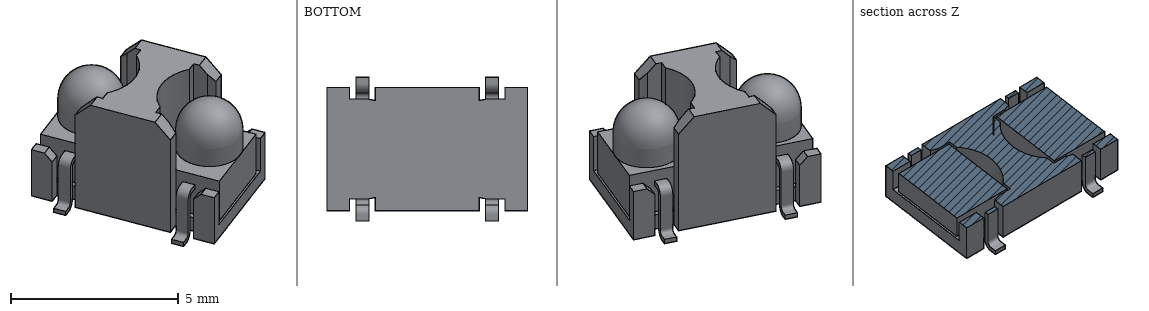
import cadquery as cq

housing_length = 6.0
housing_width = 3.69
housing_height = 3.9
floor_thickness = 0.5
block_length = 3.12
block_chamfer = 0.505
post_length = 0.685
post_height = 1.7
post_chamfer = 0.25

component_x = 1.93
pocket_radius = 1.5
pocket_width = 2.74
pocket_inner_x = 0.87

package_length = 2.005
package_width = 2.65
package_top = 1.95
dome_radius = 2.02 / 2
dome_y = 0.155
dome_base = 2.59

lead_width = 0.395
lead_thickness = 0.15
lead_bend_radius = 0.125
lead_top = 1.585
lead_face_y = 1.82
lead_span = 4.3


def box(x_min, x_max, width, z_min, z_max):
    """Box centered on Y = 0."""
    return (
        cq.Workplane("XY")
        .box(x_max - x_min, width, z_max - z_min, centered=(False, True, False))
        .translate((x_min, 0, z_min))
    )


def make_pocket(z_min, z_max):
    """Plan shape of the right-hand pocket: a round bore, a square step and an open outer end."""
    bore = (
        cq.Workplane("XY", origin=(component_x, 0, z_min))
        .circle(pocket_radius)
        .extrude(z_max - z_min)
    )
    step = box(pocket_inner_x, component_x, pocket_width, z_min, z_max)
    outer_end = box(component_x, housing_length / 2, 2 * pocket_radius, z_min, z_max)
    envelope = box(0, housing_length / 2, housing_width, z_min, z_max)
    return bore.union(step).union(outer_end).intersect(envelope)


def make_posts():
    """Right-hand pair of corner posts, chamfered toward the center block."""
    posts = box(
        housing_length / 2 - post_length, housing_length / 2, housing_width, 0, post_height
    )
    return posts.edges("<X and >Z").chamfer(post_chamfer)


def make_lead():
    """Right-hand lead on the +Y side: out of the package, down and outward into a foot."""
    outer_radius = lead_bend_radius + lead_thickness
    back_y = lead_face_y - lead_thickness
    bend_y = lead_face_y + lead_bend_radius
    underside = lead_top - lead_thickness
    profile = (
        cq.Workplane("YZ", origin=(component_x - lead_width / 2, 0, 0))
        .moveTo(0, lead_top)
        .lineTo(lead_face_y - outer_radius, lead_top)
        .radiusArc((lead_face_y, lead_top - outer_radius), outer_radius)
        .lineTo(lead_face_y, lead_bend_radius)
        .radiusArc((bend_y, 0), -lead_bend_radius)
        .lineTo(lead_span / 2, 0)
        .lineTo(lead_span / 2, -lead_thickness)
        .lineTo(bend_y, -lead_thickness)
        .radiusArc((back_y, lead_bend_radius), outer_radius)
        .lineTo(back_y, underside - lead_bend_radius)
        .radiusArc((back_y - lead_bend_radius, underside), -lead_bend_radius)
        .lineTo(0, underside)
        .close()
    )
    return profile.extrude(lead_width)


def make_component():
    """Right-hand package with its domed lens and two leads."""
    package = box(
        component_x - package_length / 2,
        component_x + package_length / 2,
        package_width,
        floor_thickness,
        package_top,
    )
    lens_base = (
        cq.Workplane("XY", origin=(component_x, dome_y, package_top))
        .circle(dome_radius)
        .extrude(dome_base - package_top)
    )
    dome = cq.Workplane("XY").sphere(dome_radius).translate((component_x, dome_y, dome_base))
    lead = make_lead()
    return package.union(lens_base).union(dome).union(lead).union(lead.mirror("XZ"))


block = box(-block_length / 2, block_length / 2, housing_width, 0, housing_height)
block = block.edges("|Y and >Z").chamfer(block_chamfer)
right_block = block.intersect(box(0, block_length / 2, housing_width, 0, housing_height))

right_half = (
    right_block.union(make_posts())
    .cut(make_pocket(floor_thickness, housing_height))
    .union(make_pocket(0, floor_thickness))
    .union(make_component())
)
result = right_half.union(right_half.mirror("YZ")).clean()